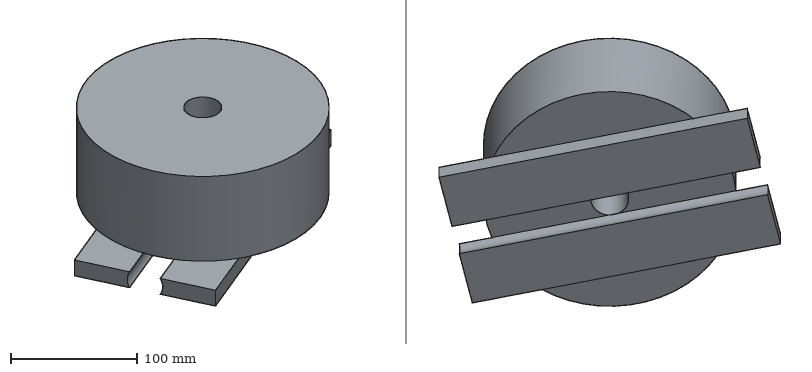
import cadquery as cq

drum_diameter = 200.0
drum_height = 80.0
bore_diameter = 30.0

bar_length = 250.0
bar_thickness = 15.0
bars_outer_width = 120.0
groove_diameter = 30.0
drum_clearance = 2.5

half_width = bars_outer_width / 2
drum_bottom = bar_thickness + drum_clearance


def make_drum():
    """Upright cylinder with a central through bore."""
    return (
        cq.Workplane("XY", origin=(0, 0, drum_bottom))
        .circle(drum_diameter / 2)
        .circle(bore_diameter / 2)
        .extrude(drum_height)
    )


def make_bar(side):
    """Bar along Y on one side of X = 0 (side is -1 or 1), its inner edge hollowed by a round groove."""
    blank = (
        cq.Workplane("XY")
        .center(side * half_width / 2, 0)
        .rect(half_width, bar_length)
        .extrude(bar_thickness)
    )
    groove = (
        cq.Workplane("XZ", origin=(0, 0, bar_thickness / 2))
        .circle(groove_diameter / 2)
        .extrude(bar_length / 2, both=True)
    )
    return blank.cut(groove).solids()


drum = make_drum()
bars = [make_bar(side) for side in (-1, 1)]

result = cq.Compound.makeCompound([drum.val(), *[bar.val() for bar in bars]])